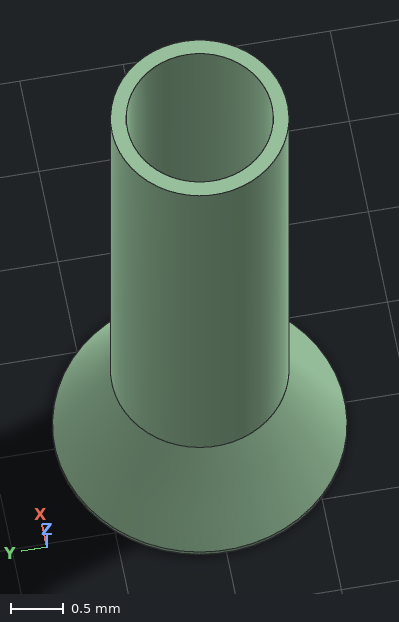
import cadquery as cq

total_height = 6.0
shank_diameter = 1.7
bore_diameter = 1.4
head_diameter = 2.8
head_height = 1.1
rim_height = 0.05

shank_radius = shank_diameter / 2
bore_radius = bore_diameter / 2
head_radius = head_diameter / 2

wall_section = (
    cq.Workplane("XZ")
    .moveTo(bore_radius, 0)
    .lineTo(head_radius, 0)
    .lineTo(head_radius, rim_height)
    .lineTo(shank_radius, head_height)
    .lineTo(shank_radius, total_height)
    .lineTo(bore_radius, total_height)
    .close()
)

result = wall_section.revolve(360, (0, 0, 0), (0, 1, 0))